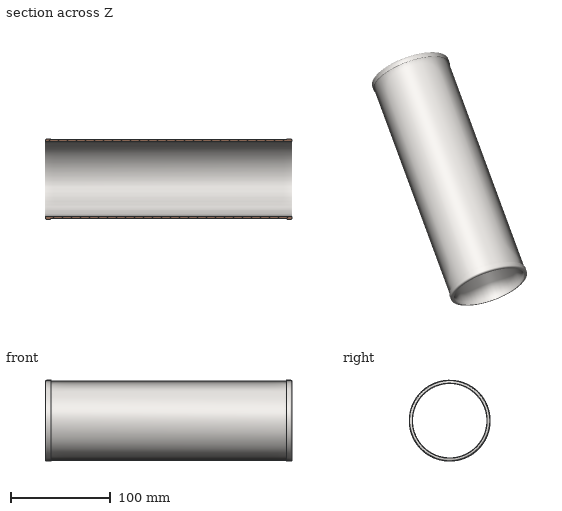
import cadquery as cq

LENGTH = 247.0
TUBE_DIAMETER = 79.5
BORE_DIAMETER = 74.5

COLLAR_DIAMETER = 81.0
COLLAR_WIDTH = 5.5
RIM_FILLET = 1.7


def cylinder_along_x(diameter, length, start):
    """Solid cylinder on the X axis, running in +X from the given start."""
    return cq.Workplane("YZ", origin=(start, 0, 0)).circle(diameter / 2).extrude(length)


def collar(start, outer_face):
    """Solid end collar with its outer rim rounded on the selected end face."""
    band = cylinder_along_x(COLLAR_DIAMETER, COLLAR_WIDTH, start)
    return band.faces(outer_face).edges().fillet(RIM_FILLET)


tube = cylinder_along_x(TUBE_DIAMETER, LENGTH - 2 * COLLAR_WIDTH, COLLAR_WIDTH - LENGTH / 2)
left_collar = collar(-LENGTH / 2, "<X")
right_collar = collar(LENGTH / 2 - COLLAR_WIDTH, ">X")
bore = cylinder_along_x(BORE_DIAMETER, LENGTH, -LENGTH / 2)

result = tube.union(left_collar).union(right_collar).cut(bore)